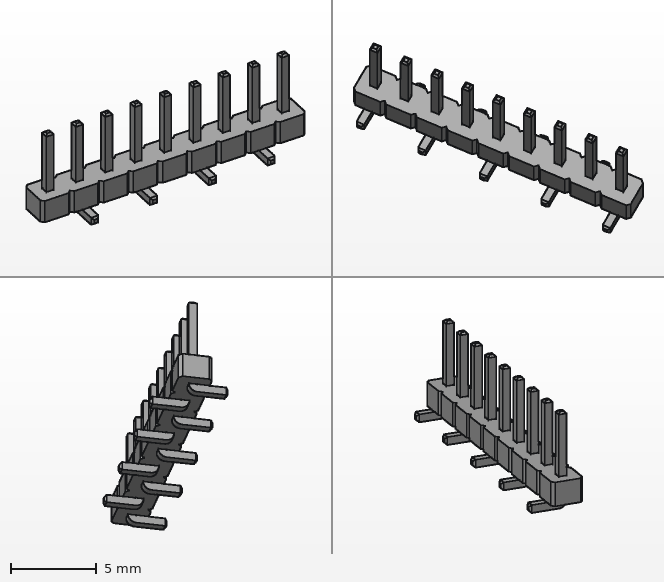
import cadquery as cq

row_length = 18.0
pin_count = 9
corner_inset = 0.2
lead_span = 4.2
tip_chamfer = 0.13

pitch = row_length / pin_count
housing_width = pitch
pin_side = pitch / 4
housing_top = pitch
housing_height = housing_top - pin_side
post_height = 2 * pitch
total_height = housing_top + post_height

half_width = housing_width / 2
half_pin = pin_side / 2
lead_reach = lead_span / 2
pin_positions = [(i - (pin_count - 1) / 2) * pitch for i in range(pin_count)]


def make_cell(y_center):
    """One pitch-long block of the housing with its four upright corners cut off."""
    half_pitch = pitch / 2
    flat_x = half_width - corner_inset
    flat_y = half_pitch - corner_inset
    outline = [
        (flat_x, half_pitch),
        (half_width, flat_y),
        (half_width, -flat_y),
        (flat_x, -half_pitch),
        (-flat_x, -half_pitch),
        (-half_width, -flat_y),
        (-half_width, flat_y),
        (-flat_x, half_pitch),
    ]
    return (
        cq.Workplane("XY", origin=(0, y_center, pin_side))
        .polyline(outline)
        .close()
        .extrude(housing_height)
    )


def make_housing():
    """Row of joined cells with a square through hole for every pin."""
    housing = make_cell(pin_positions[0])
    for y in pin_positions[1:]:
        housing = housing.union(make_cell(y))
    pin_holes = (
        cq.Workplane("XY", origin=(0, 0, pin_side))
        .pushPoints([(0, y) for y in pin_positions])
        .rect(pin_side, pin_side)
        .extrude(housing_height)
    )
    return housing.cut(pin_holes)


def make_pin(y_center, side):
    """Square L-shaped pin; side is -1 or +1, the X direction of its lead."""
    pin = (
        cq.Workplane("XZ", origin=(0, half_pin, 0))
        .moveTo(-side * half_pin, total_height)
        .lineTo(side * half_pin, total_height)
        .lineTo(side * half_pin, pin_side)
        .lineTo(side * lead_reach, pin_side)
        .lineTo(side * lead_reach, 0)
        .lineTo(side * half_pin, 0)
        .radiusArc((-side * half_pin, pin_side), side * pin_side)
        .close()
        .extrude(pin_side)
    )
    lead_end = ">X" if side > 0 else "<X"
    pin = pin.faces(">Z").chamfer(tip_chamfer)
    pin = pin.faces(lead_end).chamfer(tip_chamfer)
    return pin.translate((0, y_center, 0))


housing = make_housing()

pins = []
for index, y in enumerate(pin_positions):
    lead_side = -1 if index % 2 == 0 else 1
    pins.append(make_pin(y, lead_side))

result = cq.Compound.makeCompound([housing.val(), *[pin.val() for pin in pins]])